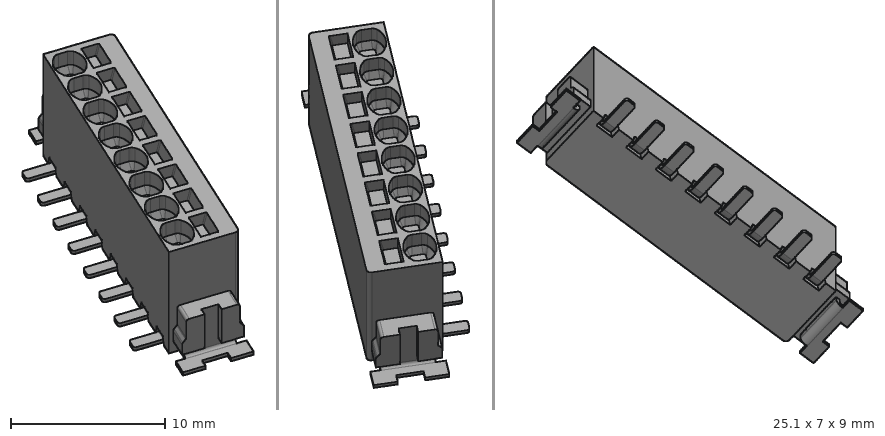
import cadquery as cq
overall_length = 25.1
pole_count = 8
pole_span = 17.5
pitch = pole_span / (pole_count - 1)
sheet_thickness = 0.3

body_length = 20.5
body_depth = 5.0
body_height = 9.0
back_corner_radius = 0.3
body_centre_y = body_depth / 2

pocket_width = 2.0
pocket_opening = 1.25
pocket_back_margin = 1.25
pocket_back_y = body_depth - pocket_back_margin
pocket_front_y = pocket_back_y - pocket_opening
pocket_lean = 0.23
pocket_depth = 1.0
pocket_corner_radius = 0.08

funnel_centre_y = 1.23
well_depth = 1.2
funnel_depth = 0.55
funnel_inset = 0.33
mouth_width = 2.23
mouth_half_width = mouth_width / 2
mouth_crown = 1.08
mouth_shoulder = 0.5
mouth_corner_radius = 0.5
throat_half_width = mouth_half_width - funnel_inset
throat_crown = mouth_crown - funnel_inset
throat_shoulder = 0.45
throat_front = 0.53
throat_corner_radius = 0.18

pin_width = 0.8
pin_reach = 2.0
pin_tip_radius = 0.2
pin_bend_radius = 0.3
pin_bend_setback = 0.1
pin_leg_front_y = pin_bend_setback + pin_bend_radius
pin_leg_back_y = pin_leg_front_y + sheet_thickness
notch_height = 0.68
notch_top_width = 1.03
notch_bottom_width = 1.3
notch_depth = pin_leg_back_y

block_overhang = 0.85
block_bottom = 1.0
block_top = 4.02
block_upper_width = 3.82
block_lower_width = 4.4
block_top_radius = 0.23
step_top = 2.33
step_bottom = 1.98
step_inner_radius = 0.15
step_outer_radius = 0.25
groove_width = 1.2
edge_search_margin = 0.03

clip_bend_radius = 0.23
ear_length = 1.15
pad_cutout_width = 1.8
pad_cutout_depth = 0.55
clip_width = 3.65
clip_shoulder = 0.95
clip_shoulder_radius = 0.13
tongue_width = 2.6

clip_end_x = -overall_length / 2
clip_leg_outer_x = clip_end_x + ear_length + clip_bend_radius
clip_leg_inner_x = clip_leg_outer_x + sheet_thickness
body_end_x = -body_length / 2
block_end_x = clip_end_x + block_overhang

pole_positions = [(i - (pole_count - 1) / 2) * pitch for i in range(pole_count)]


def box(x_range, y_range, z_range):
    """Box between two limits along each axis."""
    size = [high - low for low, high in (x_range, y_range, z_range)]
    start = (x_range[0], y_range[0], z_range[0])
    return cq.Workplane("XY").box(*size, centered=False).translate(start)


def centred_span(width):
    """Y limits of a feature centred on the housing depth."""
    return body_centre_y - width / 2, body_centre_y + width / 2


def make_housing():
    housing = box((body_end_x, -body_end_x), (0, body_depth), (0, body_height))
    return housing.edges("|Z and >Y").fillet(back_corner_radius)


def make_pocket():
    floor_z = body_height - pocket_depth
    pocket = (
        cq.Workplane("YZ")
        .moveTo(pocket_front_y, body_height)
        .lineTo(pocket_back_y, body_height)
        .lineTo(pocket_back_y - pocket_lean, floor_z)
        .lineTo(pocket_front_y, floor_z)
        .close()
        .extrude(pocket_width / 2, both=True)
    )
    return pocket.edges("not(|X)").edges(">Y").fillet(pocket_corner_radius)


def rounded_wire(outline, corner_radius):
    """Closed wire with every corner rounded."""
    wire = outline.close().wire().val()
    return wire.fillet2D(corner_radius, wire.Vertices())


def make_wire_entry():
    """Straight well, then a mouth arched front and back, narrowing to a throat with a straight front."""
    mouth_z = body_height - well_depth
    mouth = (
        cq.Workplane("XY", origin=(0, funnel_centre_y, mouth_z))
        .moveTo(-mouth_half_width, -mouth_shoulder)
        .lineTo(-mouth_half_width, mouth_shoulder)
        .threePointArc((0, mouth_crown), (mouth_half_width, mouth_shoulder))
        .lineTo(mouth_half_width, -mouth_shoulder)
        .threePointArc((0, -mouth_crown), (-mouth_half_width, -mouth_shoulder))
    )
    throat = (
        cq.Workplane("XY", origin=(0, funnel_centre_y, mouth_z - funnel_depth))
        .moveTo(-throat_half_width, -throat_front)
        .lineTo(-throat_half_width, throat_shoulder)
        .threePointArc((0, throat_crown), (throat_half_width, throat_shoulder))
        .lineTo(throat_half_width, -throat_front)
    )
    mouth_wire = rounded_wire(mouth, mouth_corner_radius)
    throat_wire = rounded_wire(throat, throat_corner_radius)
    funnel = cq.Solid.makeLoft([mouth_wire, throat_wire], True)
    well = cq.Solid.extrudeLinear(mouth_wire, [], cq.Vector(0, 0, well_depth))
    return cq.Workplane(well).union(cq.Workplane(funnel))


def make_notch():
    return (
        cq.Workplane("XZ")
        .moveTo(-notch_bottom_width / 2, 0)
        .lineTo(-notch_top_width / 2, notch_height)
        .lineTo(notch_top_width / 2, notch_height)
        .lineTo(notch_bottom_width / 2, 0)
        .close()
        .extrude(-notch_depth)
    )


def make_pin():
    """Flat tail that bends up to the ceiling of its notch."""
    bend_top = sheet_thickness + pin_bend_radius
    pin = (
        cq.Workplane("YZ")
        .moveTo(-pin_reach, 0)
        .lineTo(pin_leg_back_y - bend_top, 0)
        .radiusArc((pin_leg_back_y, bend_top), -bend_top)
        .lineTo(pin_leg_back_y, notch_height)
        .lineTo(pin_leg_front_y, notch_height)
        .lineTo(pin_leg_front_y, bend_top)
        .radiusArc((pin_leg_front_y - pin_bend_radius, sheet_thickness), pin_bend_radius)
        .lineTo(-pin_reach, sheet_thickness)
        .close()
        .extrude(pin_width / 2, both=True)
    )
    return pin.edges("|Z and <Y").fillet(pin_tip_radius)


def make_block():
    """Stepped end block, grooved down the middle as far as the clip leg."""
    upper = block_upper_width / 2
    lower = block_lower_width / 2
    block = (
        cq.Workplane("YZ", origin=(block_end_x, body_centre_y, 0))
        .moveTo(-lower, block_bottom)
        .lineTo(-lower, step_bottom)
        .lineTo(-upper, step_top)
        .lineTo(-upper, block_top)
        .lineTo(upper, block_top)
        .lineTo(upper, step_top)
        .lineTo(lower, step_bottom)
        .lineTo(lower, block_bottom)
        .close()
        .extrude(body_end_x - block_end_x)
    )
    for height, radius in (
        (block_top, block_top_radius),
        (step_top, step_inner_radius),
        (step_bottom, step_outer_radius),
    ):
        level = cq.selectors.BoxSelector(
            (clip_end_x, 0, height - edge_search_margin), (0, body_depth, height + edge_search_margin)
        )
        block = block.edges("|X").edges(level).fillet(radius)
    groove = box((block_end_x, clip_leg_outer_x), centred_span(groove_width), (block_bottom, block_top))
    return block.cut(groove)


def make_clip():
    """Sheet-metal pad with two ears, bent up into a leg that enters the end block."""
    bend_start_x = clip_end_x + ear_length
    bend_top = sheet_thickness + clip_bend_radius
    pad = box((clip_end_x, bend_start_x), (0, body_depth), (0, sheet_thickness))
    cutout = box(
        (clip_end_x, clip_end_x + pad_cutout_depth), centred_span(pad_cutout_width), (0, sheet_thickness)
    )
    leg = (
        cq.Workplane("XZ", origin=(0, body_centre_y, 0))
        .moveTo(bend_start_x, 0)
        .radiusArc((clip_leg_inner_x, bend_top), -bend_top)
        .lineTo(clip_leg_inner_x, clip_shoulder)
        .lineTo(clip_leg_outer_x, clip_shoulder)
        .lineTo(clip_leg_outer_x, bend_top)
        .radiusArc((bend_start_x, sheet_thickness), clip_bend_radius)
        .close()
        .extrude(clip_width / 2, both=True)
        .edges("|X and >Z")
        .fillet(clip_shoulder_radius)
    )
    tongue = box(
        (clip_leg_outer_x, clip_leg_inner_x), centred_span(tongue_width), (clip_shoulder, block_bottom)
    )
    return pad.cut(cutout).union(leg).union(tongue)


result = make_housing()

for x in pole_positions:
    for cavity in (make_pocket(), make_wire_entry(), make_notch()):
        result = result.cut(cavity.translate((x, 0, 0)))
    result = result.union(make_pin().translate((x, 0, 0)))

left_end = make_block().union(make_clip())
result = result.union(left_end).union(left_end.mirror("YZ"))